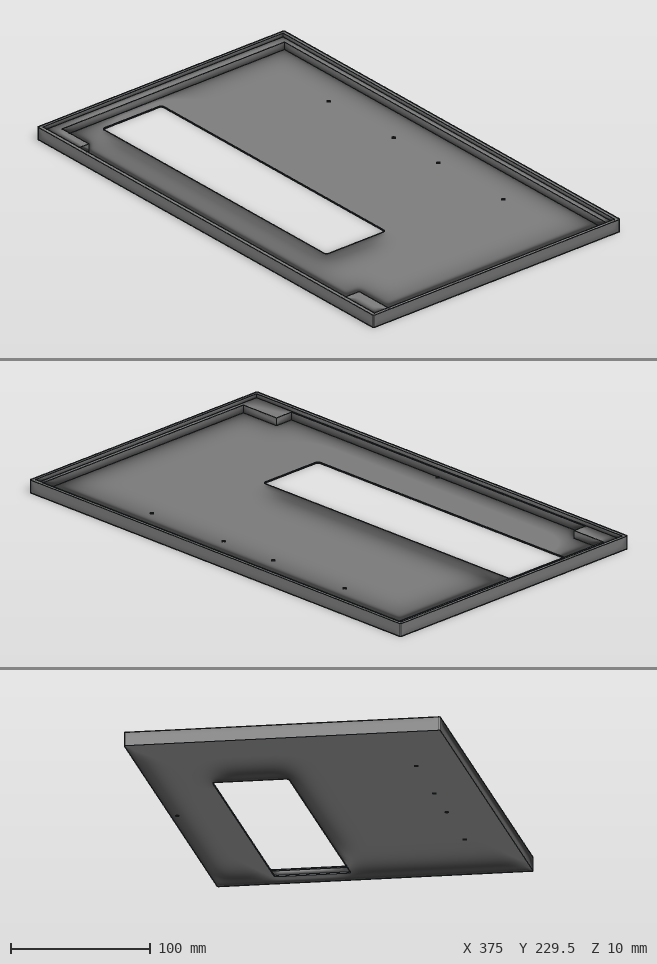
import cadquery as cq

LENGTH = 375.0
WIDTH = 229.5
HEIGHT = 10.0
CORNER_RADIUS = 1.0
FLOOR_THICKNESS = 1.0
LEDGE_HEIGHT = 7.0

RIM_X = 2.5
RIM_Y = 3.0

CAVITY_LEFT = -178.25
CAVITY_RIGHT = 182.0
CAVITY_BACK = 107.5
CAVITY_FRONT = -110.5

BLOCK_INNER_X = 148.5
LEFT_BLOCK_BACK = -99.5
RIGHT_BLOCK_BACK = -95.5

WINDOW_LEFT = -169.0
WINDOW_RIGHT = 81.0
WINDOW_FRONT = -70.0
WINDOW_BACK = -14.5
WINDOW_CORNER_RADIUS = 2.5

HOLE_DIAMETER = 2.5
HOLE_Y = 81.25
HOLE_DISTANCES = (25.0, 97.5)
FRONT_HOLE_Y = -110.0


def box_between(left, right, front, back, bottom, top):
    """Box given by the positions of its six faces."""
    return cq.Workplane("XY").box(
        right - left, back - front, top - bottom, centered=False
    ).translate((left, front, bottom))


def tray_blank():
    """Slab with rounded upright edges and a shallow recess inside the rim."""
    half_x = LENGTH / 2
    half_y = WIDTH / 2
    slab = box_between(-half_x, half_x, -half_y, half_y, 0, HEIGHT)
    slab = slab.edges("|Z").fillet(CORNER_RADIUS)
    recess = box_between(
        RIM_X - half_x, half_x - RIM_X, RIM_Y - half_y, half_y - RIM_Y, LEDGE_HEIGHT, HEIGHT
    )
    return slab.cut(recess)


def cavity():
    """Deep pocket down to the floor, stepped around the two front corner blocks."""
    outline = [
        (CAVITY_LEFT, CAVITY_BACK),
        (CAVITY_RIGHT, CAVITY_BACK),
        (CAVITY_RIGHT, RIGHT_BLOCK_BACK),
        (BLOCK_INNER_X, RIGHT_BLOCK_BACK),
        (BLOCK_INNER_X, CAVITY_FRONT),
        (-BLOCK_INNER_X, CAVITY_FRONT),
        (-BLOCK_INNER_X, LEFT_BLOCK_BACK),
        (CAVITY_LEFT, LEFT_BLOCK_BACK),
    ]
    pocket = cq.Workplane("XY").workplane(offset=FLOOR_THICKNESS).polyline(outline).close()
    return pocket.extrude(LEDGE_HEIGHT - FLOOR_THICKNESS)


def window():
    """Opening through the floor with lightly rounded corners."""
    opening = box_between(
        WINDOW_LEFT, WINDOW_RIGHT, WINDOW_FRONT, WINDOW_BACK, 0, FLOOR_THICKNESS
    )
    return opening.edges("|Z").fillet(WINDOW_CORNER_RADIUS)


def floor_holes():
    """Mirrored row of through holes near the back of the floor, and one at the front."""
    centres = [(side * x, HOLE_Y) for x in HOLE_DISTANCES for side in (-1, 1)]
    centres.append((0, FRONT_HOLE_Y))
    holes = cq.Workplane("XY").pushPoints(centres).circle(HOLE_DIAMETER / 2)
    return holes.extrude(FLOOR_THICKNESS)


result = tray_blank().cut(cavity()).cut(window()).cut(floor_holes())